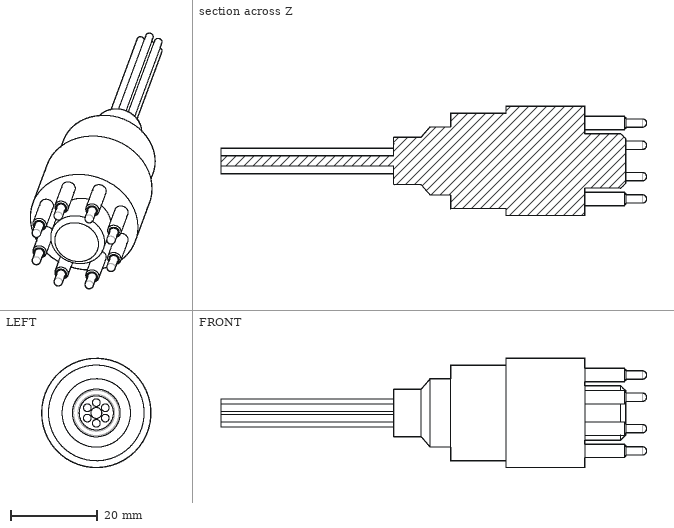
import cadquery as cq
import math


overall_length = 98.77

post_diameter = 12.7
post_length = 9.525
post_chamfer = 1.2
pin_count = 8
pin_circle_diameter = 19.05
pin_first_angle = 360 / pin_count / 2
pin_diameter = 3.17
pin_shoulder_length = post_length
pin_shoulder_chamfer = 0.35
pin_tip_diameter = 1.99
pin_length = 14.35

flange_diameter = 25.4
flange_length = 18.3
barrel_diameter = 22.2
barrel_length = 12.8
collar_diameter = 15.88
collar_length = 4.8
cone_length = 2.05
neck_diameter = 11.1
neck_length = 6.45
neck_edge_fillet = 0.3

jacket_diameter = 7.92
jacket_seat_depth = 0.6
core_diameter = 2.54
wire_count = 6
wire_diameter = 1.78
wire_circle_radius = 2.4
wire_first_angle = 90

barrel_start = -flange_length
collar_start = barrel_start - barrel_length
cone_start = collar_start - collar_length
neck_start = cone_start - cone_length
neck_end = neck_start - neck_length
wire_end = pin_length - overall_length


def rod(diameter, start, end, y=0, z=0):
    """Round bar parallel to X between two stations."""
    return cq.Workplane("YZ", origin=(start, y, z)).circle(diameter / 2).extrude(end - start)


def circle_points(count, radius, first_angle):
    """Evenly spaced (y, z) points on a circle about the X axis."""
    angles = [math.radians(first_angle + 360 * i / count) for i in range(count)]
    return [(radius * math.cos(a), radius * math.sin(a)) for a in angles]


def make_body():
    """Turned body: flange, barrel, collar, cone and neck, with rounded edges at the neck mouth."""
    profile = [
        (0, 0),
        (0, flange_diameter / 2),
        (barrel_start, flange_diameter / 2),
        (barrel_start, barrel_diameter / 2),
        (collar_start, barrel_diameter / 2),
        (collar_start, collar_diameter / 2),
        (cone_start, collar_diameter / 2),
        (neck_start, neck_diameter / 2),
        (neck_end, neck_diameter / 2),
        (neck_end, 0),
    ]
    body = cq.Workplane("XY").polyline(profile).close().revolve(360, (0, 0, 0), (1, 0, 0))
    seat = rod(jacket_diameter, neck_end, neck_end + jacket_seat_depth)
    return body.cut(seat).faces("<X").edges().fillet(neck_edge_fillet)


def make_pin(y, z):
    """Stepped contact pin with a chamfered shoulder and a hemispherical tip."""
    tip_radius = pin_tip_diameter / 2
    dome_center = pin_length - tip_radius
    shoulder = rod(pin_diameter, 0, pin_shoulder_length, y, z)
    shoulder = shoulder.faces(">X").chamfer(pin_shoulder_chamfer)
    tip = rod(pin_tip_diameter, 0, dome_center, y, z)
    dome = cq.Workplane("XY").sphere(tip_radius).rotate((0, 0, 0), (0, 1, 0), 90)
    return shoulder.union(tip).union(dome.translate((dome_center, y, z)))


def make_post():
    """Central post with a chamfered end."""
    return rod(post_diameter, 0, post_length).faces(">X").chamfer(post_chamfer)


def add_pins(part):
    """Post and ring of pins standing on the mating face."""
    part = part.union(make_post())
    for y, z in circle_points(pin_count, pin_circle_diameter / 2, pin_first_angle):
        part = part.union(make_pin(y, z))
    return part


def add_cable(part):
    """Jacket in its seat, then the core and the wires around it."""
    part = part.union(rod(jacket_diameter, neck_end, neck_end + jacket_seat_depth))
    part = part.union(rod(core_diameter, wire_end, neck_end))
    for y, z in circle_points(wire_count, wire_circle_radius, wire_first_angle):
        part = part.union(rod(wire_diameter, wire_end, neck_end, y, z))
    return part


result = add_cable(add_pins(make_body()))